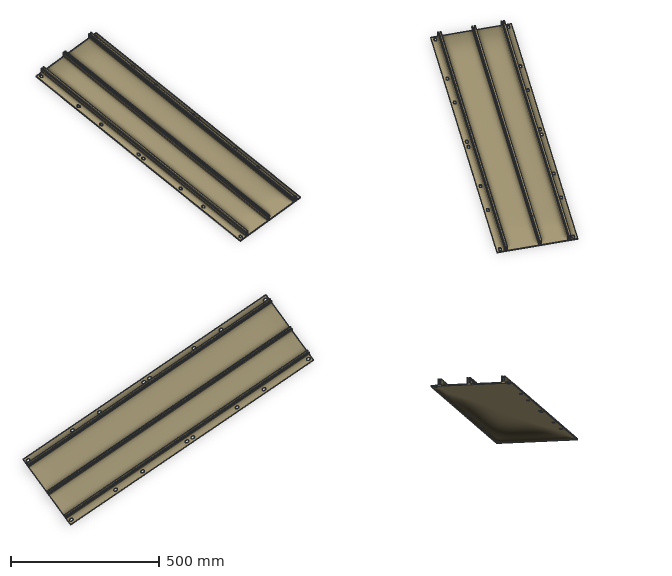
import cadquery as cq
import math

length = 1000.0
width = 279.0
height = 25.0
plate_thickness = 4.0

outer_rail_offset = 110.0
middle_rail_y = -9.0
rail_wall_thickness = 3.3
rail_foot_radius = 2.0
slot_width = 5.0
slot_tip_z = 6.6
slot_floor_slope = 30
slot_mouth_radius = 0.7
rail_width = slot_width + 2 * rail_wall_thickness

barb_reach = 1.0
barb_bottom_z = 18.0
barb_height = 4.0

mount_length = 13.0
mount_width = 9.0
mount_edge_inset = 13.0
mount_end_inset = 12.0
mount_inner_spacing = 111.0


def bar(y_centre, bar_width, z_bottom, bar_height):
    """Rectangular bar running the full panel length."""
    return (
        cq.Workplane("XY")
        .box(length, bar_width, bar_height, centered=(True, True, False))
        .translate((0, y_centre, z_bottom))
    )


def rail_section(y_centre):
    """Outline of a rail with flared feet and a slot with a V-shaped floor, open at the top."""
    half_width = rail_width / 2
    half_foot = half_width + rail_foot_radius
    half_slot = slot_width / 2
    half_mouth = half_slot + slot_mouth_radius
    foot_top = plate_thickness + rail_foot_radius
    wall_bottom = slot_tip_z + half_slot * math.tan(math.radians(slot_floor_slope))
    mouth_bottom = height - slot_mouth_radius
    return (
        cq.Workplane("YZ", origin=(-length / 2, y_centre, 0))
        .moveTo(-half_foot, 0)
        .lineTo(half_foot, 0)
        .lineTo(half_foot, plate_thickness)
        .radiusArc((half_width, foot_top), rail_foot_radius)
        .lineTo(half_width, height)
        .lineTo(half_mouth, height)
        .radiusArc((half_slot, mouth_bottom), -slot_mouth_radius)
        .lineTo(half_slot, wall_bottom)
        .lineTo(0, slot_tip_z)
        .lineTo(-half_slot, wall_bottom)
        .lineTo(-half_slot, mouth_bottom)
        .radiusArc((-half_mouth, height), -slot_mouth_radius)
        .lineTo(-half_width, height)
        .lineTo(-half_width, foot_top)
        .radiusArc((-half_foot, plate_thickness), rail_foot_radius)
        .close()
    )


def mounting_slots():
    """Cutters for the slots along both long edges."""
    group_centre = length / 4
    group_offsets = (mount_inner_spacing / 2, group_centre - mount_end_inset)
    row_y = width / 2 - mount_edge_inset
    places = [
        (group * group_centre + side * offset, row * row_y)
        for group in (-1, 1)
        for side in (-1, 1)
        for offset in group_offsets
        for row in (-1, 1)
    ]
    return cq.Workplane("XY").pushPoints(places).slot2D(mount_length, mount_width).extrude(plate_thickness)


result = bar(0, width, 0, plate_thickness)

for rail_y in (-outer_rail_offset, middle_rail_y, outer_rail_offset):
    result = result.union(rail_section(rail_y).extrude(length))

for rail_y, side in ((middle_rail_y, 1), (outer_rail_offset, -1)):
    barb_y = rail_y + side * (rail_width + barb_reach) / 2
    result = result.union(bar(barb_y, barb_reach, barb_bottom_z, barb_height))

result = result.cut(mounting_slots())